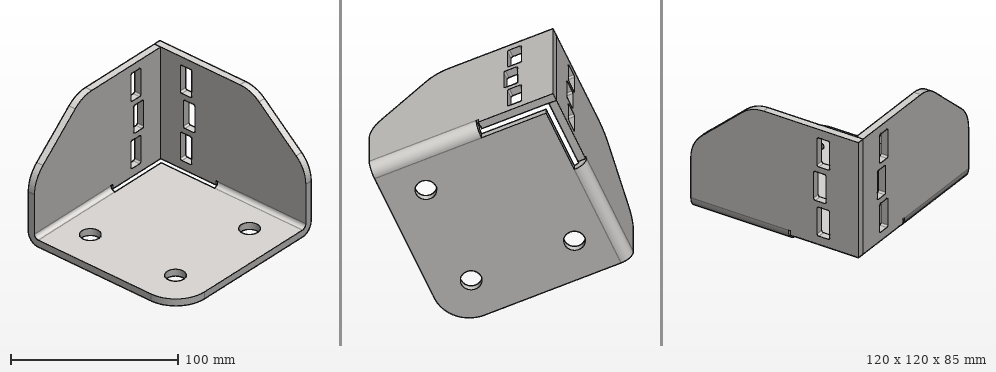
import cadquery as cq

side = 120.0
height = 85.0
thickness = 5.0
bend_inner = 3.0
bend_outer = bend_inner + thickness
corner_gap = 0.1

bend_start = 50.2
relief_width = 1.5

slope_start = 76.5
slope_drop = 38.4
corner_radius = 22.8
select_margin = 1.2
slope_corners = cq.selectors.BoxSelector(
    (slope_start - select_margin, -side, height - slope_drop - select_margin),
    (side + select_margin, side, height + select_margin),
)

slot_width = 9.0
slot_height = 20.0
slot_radius = 1.2
slot_pitch = 24.0
top_slot_drop = 16.0
near_column = 25.1
far_column = 27.6

hole_diameter = 13.0
hole_edge = 25.1
hole_spacing = 67.5


def box(x0, x1, depth0, depth1, z0, z1):
    """Block whose depth is measured from the back face toward -Y."""
    size = (x1 - x0, depth1 - depth0, z1 - z0)
    return cq.Workplane("XY").box(*size, centered=False).translate((x0, -depth1, z0))


def flange(start, slot_centers):
    """Upright wall along X, with its bend down to the base."""
    wall = (
        cq.Workplane("XZ")
        .moveTo(start, thickness)
        .lineTo(side, thickness)
        .lineTo(side, height - slope_drop)
        .lineTo(slope_start, height)
        .lineTo(start, height)
        .close()
        .extrude(thickness)
    )
    wall = wall.edges("|Y").edges(slope_corners).fillet(corner_radius)

    wall = wall.cut(box(bend_start - relief_width, side, 0, thickness, 0, bend_outer))

    for row, center in enumerate(slot_centers):
        slot = (
            cq.Workplane("XY")
            .box(slot_width, 2 * thickness, slot_height)
            .edges("|Y")
            .fillet(slot_radius)
            .translate((center, -thickness / 2, height - top_slot_drop - row * slot_pitch))
        )
        wall = wall.cut(slot)

    bend_block = box(bend_start, side, 0, bend_outer, 0, bend_outer)
    bend_axis = cq.Workplane("YZ", origin=(bend_start, -bend_outer, bend_outer))
    bend_ring = bend_axis.circle(bend_outer).circle(bend_inner).extrude(side - bend_start)
    return wall.union(bend_block.intersect(bend_ring))


def swap_sides(body):
    """Reflect a body across the vertical diagonal plane Y = -X."""
    return body.mirror("YZ").rotate((0, 0, 0), (0, 0, 1), 90)


def base_plate():
    plate = box(bend_outer, side, bend_outer, side, 0, thickness)
    plate = plate.edges("|Z and >X and <Y").fillet(corner_radius)
    far = side - hole_edge
    near = far - hole_spacing
    centers = [(far, -far), (near, -far), (far, -near)]
    holes = cq.Workplane("XY").pushPoints(centers).circle(hole_diameter / 2).extrude(thickness)
    return plate.cut(holes)


back_wall = flange(0, [near_column, far_column, near_column])
left_wall = swap_sides(flange(thickness + corner_gap, [far_column, near_column, far_column]))

result = base_plate().union(back_wall).union(left_wall)